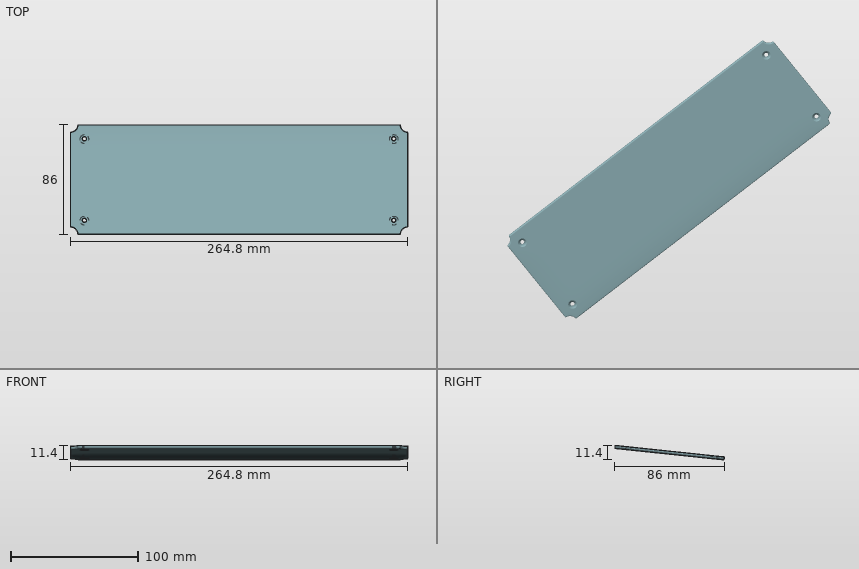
import cadquery as cq
import math

length = 264.8
depth = 86.0
thickness = 2.5
tilt_angle = 6.0
edge_rounding = 1.0
scoop_radius = 5.8
tip_radius = 0.8
hole_diameter = 3.2
countersink_diameter = 7.0
countersink_angle = 90.0
hole_spacing_x = 242.8
hole_spacing_y = 64.3

tilt = math.radians(tilt_angle)
edge_height = thickness - edge_rounding
width = (depth - edge_height * math.sin(tilt)) / math.cos(tilt)


def make_plate():
    """Flat plate with its top face at Z = 0, scooped corners and a rounded lower edge."""
    plate = cq.Workplane("XY").rect(length, width).extrude(-thickness)
    scoops = (
        cq.Workplane("XY")
        .rect(length, width, forConstruction=True)
        .vertices()
        .circle(scoop_radius)
        .extrude(-thickness)
    )
    outline = plate.cut(scoops).edges("|Z").fillet(tip_radius)
    return outline.faces("<Z").edges().fillet(edge_rounding)


def drill_holes(plate):
    """Four through holes, countersunk from the underside."""
    return (
        plate.faces("<Z")
        .workplane(origin=(0, 0, -thickness))
        .rect(hole_spacing_x, hole_spacing_y, forConstruction=True)
        .vertices()
        .cskHole(hole_diameter, countersink_diameter, countersink_angle)
    )


result = drill_holes(make_plate()).rotate((0, 0, 0), (1, 0, 0), -tilt_angle)